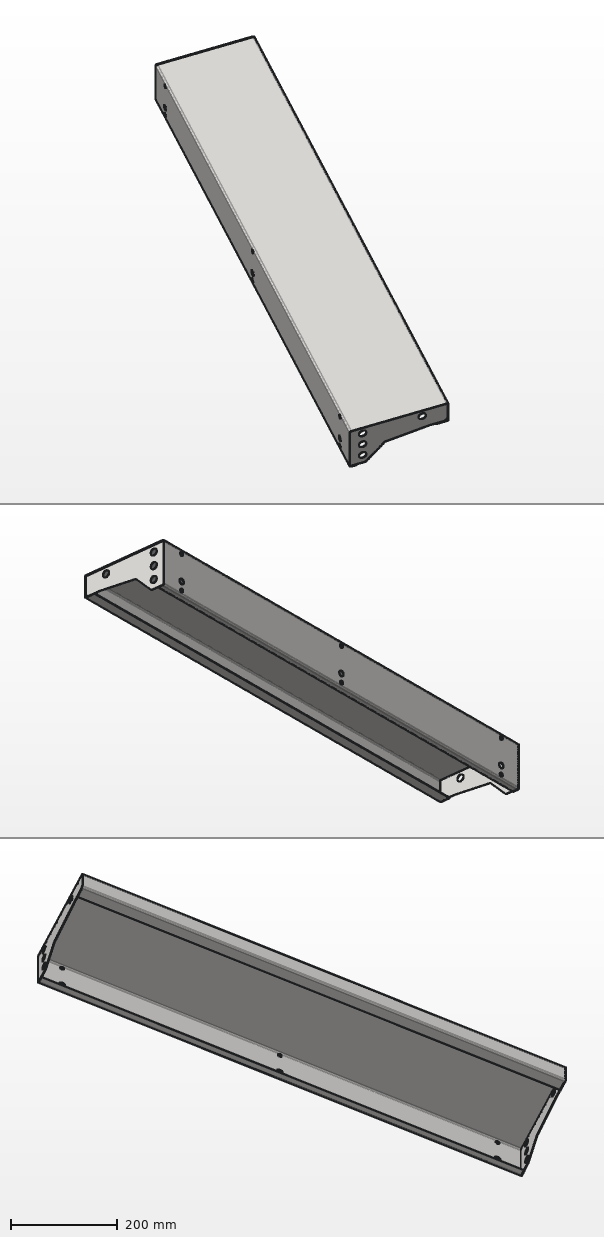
import cadquery as cq

LENGTH = 1000.0
DEPTH = 200.0
HEIGHT = 100.0
BACK_HEIGHT = 50.0
BACK_BOTTOM_Z = HEIGHT - BACK_HEIGHT

SHEET = 2.0
BEND_OUTER_RADIUS = 4.0
BEND_INNER_RADIUS = BEND_OUTER_RADIUS - SHEET
FRONT_LIP = 15.0
BACK_LIP = 25.0

FRONT_HOLE_END_OFFSET = 50.0
FRONT_HOLE_XS = (FRONT_HOLE_END_OFFSET, LENGTH / 2, LENGTH - FRONT_HOLE_END_OFFSET)
LARGE_HOLE_DIAMETER = 12.0
LARGE_HOLE_Z = 30.0
SMALL_HOLE_DIAMETER = 8.0
SMALL_HOLE_EDGE_OFFSET = 10.0
SMALL_HOLE_ZS = (SMALL_HOLE_EDGE_OFFSET, HEIGHT - SMALL_HOLE_EDGE_OFFSET)

INNER_FRONT_Y = SHEET
INNER_BACK_Y = DEPTH - SHEET
INNER_BOTTOM_Z = SHEET
INNER_BACK_BOTTOM_Z = BACK_BOTTOM_Z + SHEET
INNER_TOP_Z = HEIGHT - SHEET

BRACKET_THICKNESS = SHEET
FOOT_END_Y = 33.0
KNEE_Y = 72.0
KNEE_Z = 42.0
SLOPE_END_Y = 162.0
BACK_CORNER_CHAMFER = 6.0
BRACKET_HOLE_DIAMETER = 15.0
FRONT_COLUMN_Y = 27.0
BRACKET_HOLE_TOP_Z = 83.0
BRACKET_HOLE_PITCH = 30.0
FRONT_COLUMN_COUNT = 3
HOLE_ROW_SPACING = 120.0


def long_edge_at(y, z):
    """Select the lengthwise edge of the shelf that passes through (y, z)."""
    return cq.selectors.NearestToPointSelector((LENGTH / 2, y, z))


def plate_corner_at(y, z):
    """Select the short edge of a bracket blank that passes through (y, z)."""
    return cq.selectors.NearestToPointSelector((BRACKET_THICKNESS / 2, y, z))


def make_folded_sheet():
    """Sheet with a top, a tall front wall, a short back wall and a bottom lip on each wall."""
    outer_bends = [(0, 0), (0, HEIGHT), (DEPTH, HEIGHT), (DEPTH, BACK_BOTTOM_Z)]
    inner_bends = [
        (INNER_BACK_Y, INNER_BACK_BOTTOM_Z),
        (INNER_BACK_Y, INNER_TOP_Z),
        (INNER_FRONT_Y, INNER_TOP_Z),
        (INNER_FRONT_Y, INNER_BOTTOM_Z),
    ]
    front_lip_start = [(FRONT_LIP, 0)]
    back_lip_end = [
        (DEPTH - BACK_LIP, BACK_BOTTOM_Z),
        (DEPTH - BACK_LIP, INNER_BACK_BOTTOM_Z),
    ]
    front_lip_end = [(FRONT_LIP, INNER_BOTTOM_Z)]
    outline = front_lip_start + outer_bends + back_lip_end + inner_bends + front_lip_end

    sheet = cq.Workplane("YZ").polyline(outline).close().extrude(LENGTH)
    for y, z in outer_bends:
        sheet = sheet.edges(long_edge_at(y, z)).fillet(BEND_OUTER_RADIUS)
    for y, z in inner_bends:
        sheet = sheet.edges(long_edge_at(y, z)).fillet(BEND_INNER_RADIUS)
    return sheet


def front_hole_cutters(diameter, heights):
    """Cylinders through the front wall at every hole column, at the given heights."""
    centers = [(x, z) for x in FRONT_HOLE_XS for z in heights]
    return cq.Workplane("XZ").pushPoints(centers).circle(diameter / 2).extrude(-SHEET)


def make_shelf():
    """Folded sheet with its fixing holes."""
    return (
        make_folded_sheet()
        .cut(front_hole_cutters(LARGE_HOLE_DIAMETER, [LARGE_HOLE_Z]))
        .cut(front_hole_cutters(SMALL_HOLE_DIAMETER, SMALL_HOLE_ZS))
    )


def make_bracket_blank():
    """Flat plate that fills the section of the shelf, cut away below between the two lips."""
    bend_corners = [
        (INNER_BACK_Y, INNER_TOP_Z),
        (INNER_FRONT_Y, INNER_TOP_Z),
        (INNER_FRONT_Y, INNER_BOTTOM_Z),
    ]
    back_corner = (INNER_BACK_Y, INNER_BACK_BOTTOM_Z)
    lower_edge = [
        (FOOT_END_Y, INNER_BOTTOM_Z),
        (KNEE_Y, KNEE_Z),
        (SLOPE_END_Y, INNER_BACK_BOTTOM_Z),
    ]
    outline = bend_corners + lower_edge + [back_corner]

    blank = cq.Workplane("YZ").polyline(outline).close().extrude(BRACKET_THICKNESS)
    for y, z in bend_corners:
        blank = blank.edges(plate_corner_at(y, z)).fillet(BEND_INNER_RADIUS)
    return blank.edges(plate_corner_at(*back_corner)).chamfer(BACK_CORNER_CHAMFER)


def bracket_hole_cutters():
    """A column of holes near the front and one hole near the back, level with the top one."""
    centers = [
        (FRONT_COLUMN_Y, BRACKET_HOLE_TOP_Z - i * BRACKET_HOLE_PITCH)
        for i in range(FRONT_COLUMN_COUNT)
    ]
    centers.append((FRONT_COLUMN_Y + HOLE_ROW_SPACING, BRACKET_HOLE_TOP_Z))
    return (
        cq.Workplane("YZ")
        .pushPoints(centers)
        .circle(BRACKET_HOLE_DIAMETER / 2)
        .extrude(BRACKET_THICKNESS)
    )


def make_end_bracket(start_x):
    """Drilled bracket plate that extends from start_x toward +X."""
    return make_bracket_blank().cut(bracket_hole_cutters()).translate((start_x, 0, 0))


shelf = make_shelf()

end_brackets = [make_end_bracket(x) for x in (0, LENGTH - BRACKET_THICKNESS)]

result = cq.Compound.makeCompound([shelf.val(), *[bracket.val() for bracket in end_brackets]])